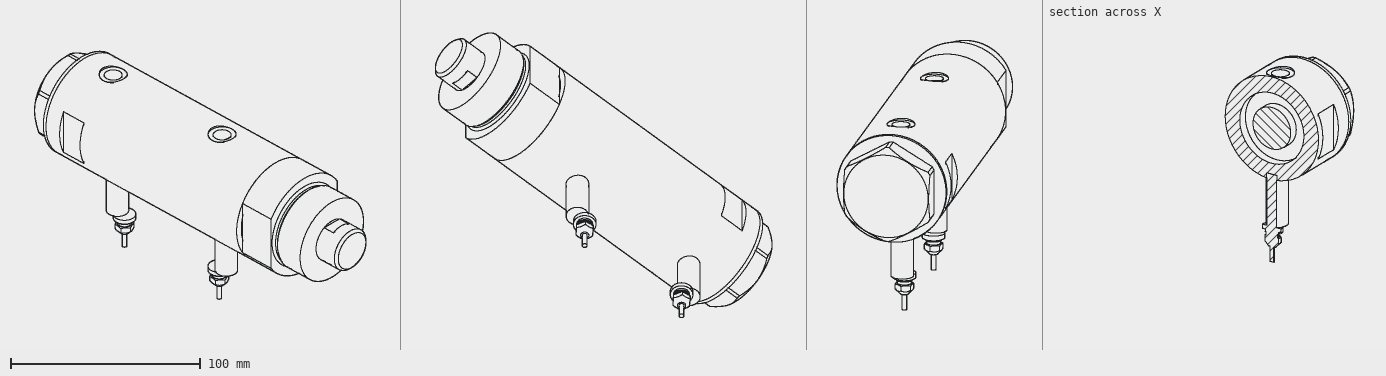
import cadquery as cq
import math


BARREL_RADIUS = 29.5
BARREL_START = 15.0
BARREL_END = 155.0
BORE_RADIUS = 20.0
HEAD_SOCKET_RADIUS = 26.0
HEAD_SOCKET_START = 117.4

BARREL_FLAT_START = 25.0
BARREL_FLAT_LENGTH = 15.0
BARREL_FLAT_OFFSET = 26.5

PORT_SPACING = 80.0
FIRST_PORT_X = 35.7
PORT_POSITIONS = [FIRST_PORT_X, FIRST_PORT_X + PORT_SPACING]
PORT_RADIUS = 4.75
SPOTFACE_RADIUS = 7.4
SPOTFACE_FLOOR = 28.5

CAP_HEX_LENGTH = 13.0
CAP_HEX_FLATS = 46.0
CAP_CORNER_RADIUS = 26.0
CAP_FACE_RADIUS = 22.8
CAP_SPIGOT_END = 38.8

HEAD_SHOULDER = 176.0
HEAD_FLAT_OFFSET = 25.0
HEAD_COLLAR_RADIUS = 24.0
HEAD_END = 196.3
NECK_RADIUS = 23.0
NECK_ROOT_RADIUS = 24.3
NECK_START = HEAD_SHOULDER + NECK_ROOT_RADIUS - NECK_RADIUS
NECK_END = 178.6
COLLAR_START = 179.7

ROD_RADIUS = 12.0
ROD_END = 211.2
ROD_CHAMFER = 1.5
ROD_FLAT_OFFSET = 10.5
ROD_FLAT_END = HEAD_END + 6.7

SENSOR_SPACING = PORT_SPACING
FIRST_SENSOR_X = 38.8
SENSOR_RADIUS = 6.0
SENSOR_TOP = -26.5
SENSOR_BODY_BOTTOM = -56.2
CONNECTOR_OFFSET = 5.2
COLLAR_BOTTOM = -58.8
RING_RADIUS = 4.3
RING_BOTTOM = -60.1
GLAND_NECK_RADIUS = 3.7
NUT_TOP = -61.9
NUT_CYLINDER_TOP = -62.4
NUT_CYLINDER_BOTTOM = -64.9
NUT_BOTTOM = -65.9
NUT_CORNER_RADIUS = 5.1
NUT_END_RADIUS = 4.0
NUT_ANGLE = -8.0
GLAND_BOTTOM = -67.9
GLAND_TIP_RADIUS = 2.2
CABLE_RADIUS = 1.3
CABLE_END = -76.6
SENSORS = [(FIRST_SENSOR_X, 1), (FIRST_SENSOR_X + SENSOR_SPACING, -1)]


def x_cylinder(radius, start, end):
    return cq.Workplane("YZ").workplane(offset=start).circle(radius).extrude(end - start)


def z_cylinder(radius, bottom, top, x=0):
    return cq.Workplane("XY").workplane(offset=bottom).center(x, 0).circle(radius).extrude(top - bottom)


def slab(start, end, width_y, width_z):
    """Block from start to end along X, centred on the axis."""
    return cq.Workplane("YZ").workplane(offset=start).rect(width_y, width_z).extrude(end - start)


def make_barrel():
    barrel = x_cylinder(BARREL_RADIUS, BARREL_START, BARREL_END)
    barrel = barrel.cut(x_cylinder(BORE_RADIUS, BARREL_START, BARREL_END))
    barrel = barrel.cut(x_cylinder(HEAD_SOCKET_RADIUS, HEAD_SOCKET_START, BARREL_END))

    flat_end = BARREL_FLAT_START + BARREL_FLAT_LENGTH
    flat_ring = x_cylinder(BARREL_RADIUS, BARREL_FLAT_START, flat_end).cut(
        slab(BARREL_FLAT_START, flat_end, 2 * BARREL_FLAT_OFFSET, 4 * BARREL_RADIUS)
    )
    barrel = barrel.cut(flat_ring)

    for x in PORT_POSITIONS:
        barrel = barrel.cut(z_cylinder(PORT_RADIUS, 0, BARREL_RADIUS, x))
        barrel = barrel.cut(z_cylinder(SPOTFACE_RADIUS, SPOTFACE_FLOOR, BARREL_RADIUS, x))
    for x, _ in SENSORS:
        barrel = barrel.cut(z_cylinder(SENSOR_RADIUS, -BARREL_RADIUS, SENSOR_TOP, x))
    return barrel


def make_cap():
    corner_diameter = CAP_HEX_FLATS / math.cos(math.pi / 6)
    hexagon = (
        cq.Workplane("YZ").polygon(6, corner_diameter).extrude(CAP_HEX_LENGTH)
        .rotate((0, 0, 0), (1, 0, 0), 90)
    )
    turned_blank = x_cylinder(CAP_CORNER_RADIUS, 0, CAP_HEX_LENGTH).faces("<X").chamfer(
        CAP_CORNER_RADIUS - CAP_FACE_RADIUS
    )
    flange = x_cylinder(BARREL_RADIUS, CAP_HEX_LENGTH, BARREL_START)
    spigot = x_cylinder(BORE_RADIUS, BARREL_START, CAP_SPIGOT_END)
    return hexagon.intersect(turned_blank).union(flange).union(spigot)


def make_head():
    profile = [
        (HEAD_SOCKET_START, ROD_RADIUS),
        (HEAD_SOCKET_START, HEAD_SOCKET_RADIUS),
        (BARREL_END, HEAD_SOCKET_RADIUS),
        (BARREL_END, BARREL_RADIUS),
        (HEAD_SHOULDER, BARREL_RADIUS),
        (HEAD_SHOULDER, NECK_ROOT_RADIUS),
        (NECK_START, NECK_RADIUS),
        (NECK_END, NECK_RADIUS),
        (COLLAR_START, HEAD_COLLAR_RADIUS),
        (HEAD_END, HEAD_COLLAR_RADIUS),
        (HEAD_END, ROD_RADIUS),
    ]
    head = cq.Workplane("XZ").polyline(profile).close().revolve(360, (0, 0), (1, 0))
    flats = slab(BARREL_END, HEAD_SHOULDER, 2 * HEAD_FLAT_OFFSET, 4 * BARREL_RADIUS)
    return head.cut(x_cylinder(BARREL_RADIUS, BARREL_END, HEAD_SHOULDER).cut(flats))


def make_rod():
    rod = x_cylinder(ROD_RADIUS, CAP_SPIGOT_END, ROD_END).faces(">X").chamfer(ROD_CHAMFER)
    flats = slab(HEAD_END, ROD_FLAT_END, 4 * ROD_RADIUS, 2 * ROD_FLAT_OFFSET)
    return rod.cut(x_cylinder(ROD_RADIUS, HEAD_END, ROD_FLAT_END).cut(flats))


def make_sensor(x, direction):
    """Round sensor body with an eccentric cable connector below it."""
    body = z_cylinder(SENSOR_RADIUS, SENSOR_BODY_BOTTOM, SENSOR_TOP)
    profile = [
        (0, SENSOR_BODY_BOTTOM),
        (SENSOR_RADIUS, SENSOR_BODY_BOTTOM),
        (SENSOR_RADIUS, COLLAR_BOTTOM),
        (RING_RADIUS, COLLAR_BOTTOM),
        (RING_RADIUS, RING_BOTTOM),
        (GLAND_NECK_RADIUS, RING_BOTTOM),
        (GLAND_NECK_RADIUS, NUT_BOTTOM),
        (NUT_END_RADIUS, NUT_BOTTOM),
        (GLAND_TIP_RADIUS, GLAND_BOTTOM),
        (CABLE_RADIUS, GLAND_BOTTOM),
        (CABLE_RADIUS, CABLE_END),
        (0, CABLE_END),
    ]
    connector = cq.Workplane("XZ").polyline(profile).close().revolve(360, (0, 0), (0, 1))

    nut_profile = [
        (0, NUT_TOP),
        (NUT_END_RADIUS, NUT_TOP),
        (NUT_CORNER_RADIUS, NUT_CYLINDER_TOP),
        (NUT_CORNER_RADIUS, NUT_CYLINDER_BOTTOM),
        (NUT_END_RADIUS, NUT_BOTTOM),
        (0, NUT_BOTTOM),
    ]
    nut = cq.Workplane("XZ").polyline(nut_profile).close().revolve(360, (0, 0), (0, 1))
    nut_hexagon = (
        cq.Workplane("XY").workplane(offset=NUT_BOTTOM).polygon(6, 2 * NUT_CORNER_RADIUS)
        .extrude(NUT_TOP - NUT_BOTTOM).rotate((0, 0, 0), (0, 0, 1), NUT_ANGLE)
    )
    connector = connector.union(nut.intersect(nut_hexagon))
    connector = connector.translate((direction * CONNECTOR_OFFSET, 0, 0))
    return body.union(connector).translate((x, 0, 0))


barrel = make_barrel()
cap = make_cap()
head = make_head()
rod = make_rod()
sensors = [make_sensor(x, direction) for x, direction in SENSORS]

result = cq.Compound.makeCompound(
    [barrel.val(), cap.val(), head.val(), rod.val(), *[sensor.val() for sensor in sensors]]
)